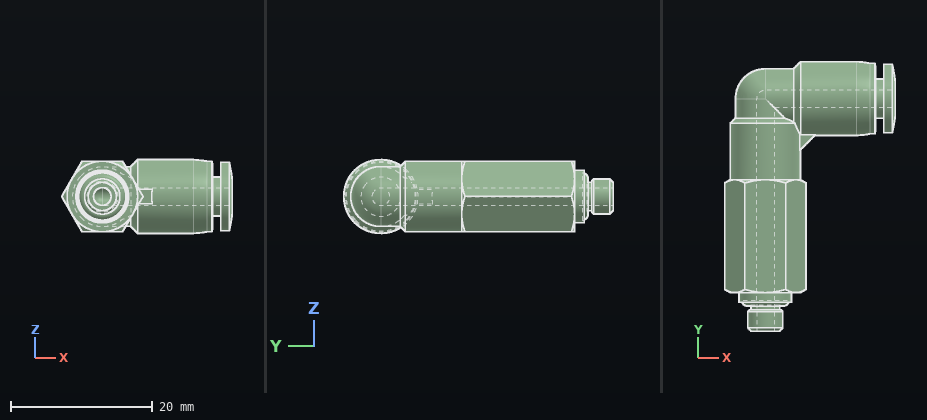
import cadquery as cq
import math


elbow_radius = 4.25
shank_radius = 5.0
shank_chamfer = shank_radius - elbow_radius
shank_start = 2.75

hex_across_flats = 10.0
hex_length = 16.0
hex_start = 11.5
hex_end = hex_start + hex_length
hex_chamfer_angle = 30.0
hex_flat_radius = hex_across_flats / 2
hex_corner_radius = hex_flat_radius / math.cos(math.pi / 6)
hex_chamfer_depth = (hex_corner_radius - hex_flat_radius) * math.tan(math.radians(hex_chamfer_angle))

collar_radius = 3.75
collar_height = 1.4
collar_end = hex_end + collar_height
collar_recess_radius = 3.53
seal_mean_radius = 2.55
seal_wire_radius = 0.8
seal_sink = 0.28
seal_centre = collar_end - seal_sink

stem_end = 33.0
thread_radius = 2.5
thread_neck_radius = 2.05
thread_length = 3.1
thread_chamfer = 0.5
thread_lead_in = 0.3
bore_radius = 1.25

arm_radius = 5.25
arm_start = 4.0
arm_chamfer = arm_radius - elbow_radius
arm_curve_start = 12.9
arm_curve_end = 14.83
arm_rim_radius = 5.02
arm_rim_end = 15.55
arm_end = 15.65
arm_end_radius = 4.5

button_neck_radius = 2.8
button_radius = 4.88
button_start = 16.78
button_rim_end = 18.02
button_end = 18.45
button_face_radius = 2.4
button_crown_bulge = 0.04

gusset_thickness = 2.0
gusset_reach = 7.0


def make_elbow():
    """Two equal cylinders joined by a ball at the corner."""
    ball = cq.Workplane("XY").sphere(elbow_radius)
    along_stem = cq.Workplane("XZ").circle(elbow_radius).extrude(hex_start)
    along_arm = cq.Workplane("YZ").circle(elbow_radius).extrude(arm_curve_start)
    return ball.union(along_stem).union(along_arm)


def make_shank():
    """Round shank with a chamfered shoulder next to the elbow."""
    shank = cq.Workplane("XZ", origin=(0, -shank_start, 0)).circle(shank_radius).extrude(hex_end - shank_start)
    return shank.faces(">Y").chamfer(shank_chamfer)


def make_hexagon():
    """Hexagon with corners on the X axis and both ends turned to a cone."""
    prism = (
        cq.Workplane("XZ", origin=(0, -hex_start, 0))
        .polygon(6, 2 * hex_corner_radius)
        .extrude(hex_length)
    )
    envelope = (
        cq.Workplane("XY")
        .moveTo(0, -hex_start)
        .lineTo(hex_flat_radius, -hex_start)
        .lineTo(hex_corner_radius, -hex_start - hex_chamfer_depth)
        .lineTo(hex_corner_radius, -hex_end + hex_chamfer_depth)
        .lineTo(hex_flat_radius, -hex_end)
        .lineTo(0, -hex_end)
        .close()
        .revolve(360, (0, 0, 0), (0, 1, 0))
    )
    return prism.intersect(envelope)


def make_threaded_end():
    """Collar, partly sunk seal ring, neck and plain thread, turned about Y."""
    thread_start = stem_end - thread_length
    seal_outer_radius = seal_mean_radius + seal_wire_radius
    seal_bottom = seal_centre + seal_wire_radius
    seal_neck_offset = seal_mean_radius - thread_neck_radius
    seal_at_neck = seal_centre + math.sqrt(seal_wire_radius**2 - seal_neck_offset**2)
    return (
        cq.Workplane("XY")
        .moveTo(0, -hex_end)
        .lineTo(collar_radius, -hex_end)
        .lineTo(collar_radius, -collar_end)
        .lineTo(collar_recess_radius, -collar_end)
        .lineTo(seal_outer_radius, -seal_centre)
        .threePointArc((seal_mean_radius, -seal_bottom), (thread_neck_radius, -seal_at_neck))
        .lineTo(thread_neck_radius, -thread_start)
        .lineTo(thread_radius - thread_lead_in, -thread_start)
        .lineTo(thread_radius, -thread_start - thread_lead_in)
        .lineTo(thread_radius, -stem_end + thread_chamfer)
        .lineTo(thread_radius - thread_chamfer, -stem_end)
        .lineTo(0, -stem_end)
        .close()
        .revolve(360, (0, 0, 0), (0, 1, 0))
    )


def make_arm():
    """Tube arm and release button with a crowned front, turned about X."""
    crown_mid_x = (button_rim_end + button_end) / 2 + button_crown_bulge
    crown_mid_radius = (button_radius + button_face_radius) / 2
    return (
        cq.Workplane("XY")
        .moveTo(arm_start, 0)
        .lineTo(arm_start, elbow_radius)
        .lineTo(arm_start + arm_chamfer, arm_radius)
        .lineTo(arm_curve_start, arm_radius)
        .tangentArcPoint((arm_curve_end, arm_rim_radius), relative=False)
        .lineTo(arm_rim_end, arm_rim_radius)
        .lineTo(arm_end, arm_end_radius)
        .lineTo(arm_end, button_neck_radius)
        .lineTo(button_start, button_neck_radius)
        .lineTo(button_start, button_radius)
        .lineTo(button_rim_end, button_radius)
        .threePointArc((crown_mid_x, crown_mid_radius), (button_end, button_face_radius))
        .lineTo(button_end, 0)
        .close()
        .revolve(360, (0, 0, 0), (1, 0, 0))
    )


def make_gusset():
    """Triangular web with a 45 degree edge in the inner corner of the elbow."""
    far_leg = gusset_reach + arm_radius
    return (
        cq.Workplane("XY")
        .polyline([(0, 0), (far_leg, 0), (0, -far_leg)])
        .close()
        .extrude(gusset_thickness / 2, both=True)
    )


def make_bore():
    """Flow passage through the stem, round the corner and out of the arm."""
    ball = cq.Workplane("XY").sphere(bore_radius)
    along_stem = cq.Workplane("XZ").circle(bore_radius).extrude(stem_end)
    along_arm = cq.Workplane("YZ").circle(bore_radius).extrude(button_end)
    return ball.union(along_stem).union(along_arm)


body = make_elbow()
for piece in (make_shank(), make_hexagon(), make_threaded_end(), make_arm(), make_gusset()):
    body = body.union(piece)

result = body.cut(make_bore())